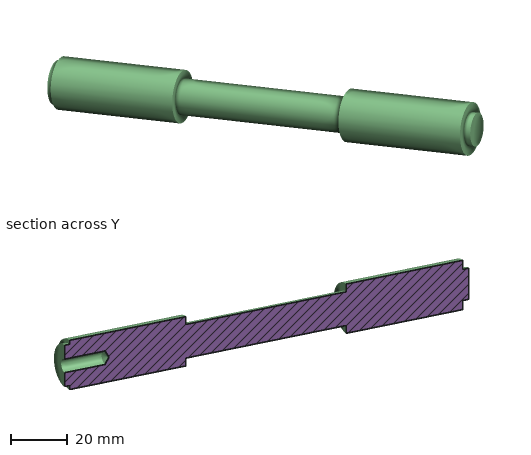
import cadquery as cq
import math

total_length = 161.0

collar_length = 2.0
sleeve_length = 46.5
stub_length = 2.4
shaft_length = total_length - collar_length - 2 * sleeve_length - stub_length

collar_diameter = 16.0
sleeve_diameter = 19.0
shaft_diameter = 13.0
stub_diameter = 12.0

hole_diameter = 5.0
hole_depth = 16.1
drill_point_angle = 118.0


def stepped_bar(start_x, steps):
    """Join coaxial cylinders, given as (length, diameter), end to end along X."""
    bar = cq.Workplane("YZ").workplane(offset=start_x)
    for length, diameter in steps:
        bar = bar.circle(diameter / 2).extrude(length).faces(">X").workplane()
    return bar


def drilled_hole(start_x):
    """Revolved cutter for a blind hole with a conical drill point."""
    radius = hole_diameter / 2
    tip_length = radius / math.tan(math.radians(drill_point_angle / 2))
    profile = cq.Workplane("XY").polyline([
        (start_x, 0),
        (start_x, radius),
        (start_x + hole_depth, radius),
        (start_x + hole_depth + tip_length, 0),
    ]).close()
    return profile.revolve(360, (0, 0, 0), (1, 0, 0))


collar_end_x = -total_length / 2
body = stepped_bar(collar_end_x, [
    (collar_length, collar_diameter),
    (sleeve_length, sleeve_diameter),
    (shaft_length, shaft_diameter),
    (sleeve_length, sleeve_diameter),
    (stub_length, stub_diameter),
])
result = body.cut(drilled_hole(collar_end_x))